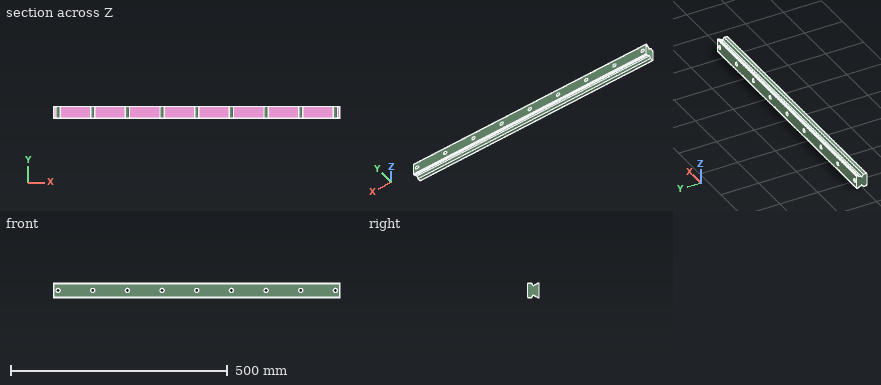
import cadquery as cq
import math

LENGTH = 660.0
DEPTH = 27.5
HEIGHT = 34.0

FRONT_FLAT = 10.0
FRONT_CHAMFER = 2.0
BACK_CHAMFER = 0.8
BACK_LIP = 3.3
FLANK_ANGLE = 30.0

RACEWAY_WIDTH = 3.6
RACEWAY_SAGITTA = 0.5

HOLE_DIAMETER = 9.0
HOLE_PITCH = 80.0
HOLE_COUNT = 9

HALF_LENGTH = LENGTH / 2
HALF_HEIGHT = HEIGHT / 2
FRONT_Y = -DEPTH / 2
BACK_Y = DEPTH / 2


def make_bar():
    """Rectangular bar along X with its four long edges chamfered."""
    bar = cq.Workplane("XY").box(LENGTH, DEPTH, HEIGHT)
    bar = bar.faces("<Y").edges("|X").chamfer(FRONT_CHAMFER)
    return bar.faces(">Y").edges("|X").chamfer(BACK_CHAMFER)


def make_groove_cutter():
    """Upper V groove, including the raceway in its long flank."""
    slope = math.radians(FLANK_ANGLE)
    along = (-math.cos(slope), -math.sin(slope))
    inward = (math.sin(slope), -math.cos(slope))

    def flank_point(distance, depth=0.0):
        """Point a distance down the long flank from the lip and a depth below it."""
        return (
            BACK_Y - BACK_LIP + distance * along[0] + depth * inward[0],
            HALF_HEIGHT + distance * along[1] + depth * inward[1],
        )

    groove_width = DEPTH - FRONT_FLAT - BACK_LIP
    flank_length = groove_width * math.cos(slope)
    return (
        cq.Workplane("YZ", origin=(-HALF_LENGTH, 0, 0))
        .moveTo(*flank_point(0))
        .threePointArc(flank_point(RACEWAY_WIDTH / 2, RACEWAY_SAGITTA), flank_point(RACEWAY_WIDTH))
        .lineTo(*flank_point(flank_length))
        .lineTo(FRONT_Y + FRONT_FLAT, HALF_HEIGHT)
        .close()
        .extrude(LENGTH)
    )


def make_hole_cutters():
    """One row of through holes along the rail, with axes along Y."""
    return (
        cq.Workplane("XZ", origin=(0, BACK_Y, 0))
        .rarray(HOLE_PITCH, 1, HOLE_COUNT, 1)
        .circle(HOLE_DIAMETER / 2)
        .extrude(DEPTH)
    )


upper_groove = make_groove_cutter()
lower_groove = upper_groove.mirror("XY")
result = make_bar().cut(upper_groove).cut(lower_groove).cut(make_hole_cutters())